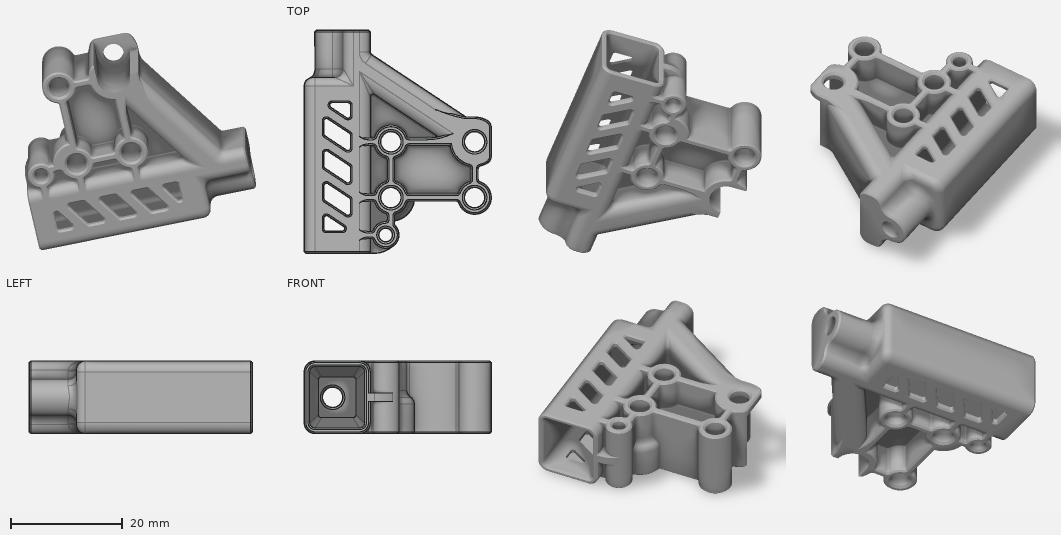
import cadquery as cq
import math

HEIGHT = 13.0
HALF_HEIGHT = HEIGHT / 2
LENGTH = 40.0
EDGE_CHAMFER = 0.3

BODY_WIDTH = 11.85
BODY_LENGTH = 31.5
BODY_RADIUS = 1.95
BODY_END_RADIUS = 1.5
WALL = 1.0
CAVITY_DEPTH = 30.0
CAVITY_RADIUS = BODY_RADIUS - WALL
CAVITY_FLOOR_CHAMFER = 1.6
CAVITY_FLOOR_WIDTH = 6.7
CAVITY_FLOOR_HEIGHT = 7.3
CAVITY_FLOOR_RADIUS = 0.5

NECK_X = 5.1
NECK_RADIUS = 3.2
NECK_FLARE = 1.5
RIDGE_LEFT = 8.85

WINDOW_LEFT = 3.55
WINDOW_RIGHT = 8.3
WINDOW_PITCH = 5.8
WINDOW_HEIGHT = 3.35
WINDOW_COUNT = 5
WINDOW_CENTER_Y = 15.5
WINDOW_CORNER = 0.45

HOLE_DIAMETER = 3.6
HOLE_CHAMFER = 0.4
BOSS_RADIUS = 3.0
BOSS_LEFT = 15.54
BOSS_RIGHT = BOSS_LEFT + 15.0
BOSS_FRONT = 10.0
BOSS_REAR = BOSS_FRONT + 10.0
SMALL_HOLE_DIAMETER = 2.4
SMALL_BOSS_RADIUS = 2.4
SMALL_BOSS_X = 14.6
SMALL_BOSS_Y = 3.3
WEB = 1.3
WEB_FILLET = 0.5
SMALL_WEB_FILLET = 0.3
WEB_ROOT_X = BODY_WIDTH - BODY_RADIUS
WEB_ROOT_HALF_WIDTH = 1.4
FLOOR = 1.5
FLOOR_FILLET = 0.25
FLOOR_FRONT_X = 12.6
FLOOR_FRONT_MIDDLE = (14.5, 0.4)
FLOOR_FRONT_END = (16.15, 1.55)
FLARE_RADIUS = 4.25
FLARE_RISE = 1.2

PAD_RADIUS = 4.45
PAD_CORNER = 1.5
PAD_SIDE = BOSS_RIGHT + BOSS_RADIUS
PAD_THICKNESS = 1.4
PAD_RECESS_RADIUS = 3.0

STRUT_ANGLE = 33.5
STRUT_SLOPE = math.tan(math.radians(STRUT_ANGLE))
STRUT_WIDTH = 5.7
STRUT_ROOT_Y = 35.8
STRUT_END_X = 28.9
STRUT_NECK_FILLET = 0.5
STRUT_POCKET_FILLET = 0.5
GUSSET_TIP = (22.2, 26.75)
GUSSET_MIDDLE = (25.5, 25.35)
GUSSET_END_X = 28.9
CROTCH_START_X = 21.9
CROTCH_END = (26.8, 21.9)


def column(sketch):
    """Extrude a plan outline over the full height of the part."""
    return sketch.extrude(HEIGHT)


def plan():
    """Sketch plane at the part's bottom face."""
    return cq.Workplane("XY", origin=(0, 0, -HALF_HEIGHT))


def section(y):
    """Section plane at the given Y, with local axes X and Z; negative extrusions run toward +Y."""
    return cq.Workplane(cq.Plane((0, y, 0), xDir=(1, 0, 0), normal=(0, -1, 0)))


def make_body():
    body = section(0).center(BODY_WIDTH / 2, 0).rect(BODY_WIDTH, HEIGHT).extrude(-BODY_LENGTH)
    body = body.edges("|Y").fillet(BODY_RADIUS)
    body = body.faces(">Y").edges().fillet(BODY_END_RADIUS)
    return body.faces("<Y").edges().chamfer(EDGE_CHAMFER)


def make_neck():
    """Tube whose top and bottom sweep up in an S-curve to the full-height ridge beside it."""
    start_y = CAVITY_DEPTH
    mid_x = (NECK_X + RIDGE_LEFT) / 2
    mid_z = (NECK_RADIUS + HALF_HEIGHT) / 2
    corner_z = HALF_HEIGHT - BODY_RADIUS
    half = (
        section(start_y)
        .moveTo(NECK_X - NECK_RADIUS, 0)
        .radiusArc((NECK_X, NECK_RADIUS), NECK_RADIUS)
        .tangentArcPoint((mid_x, mid_z), relative=False)
        .tangentArcPoint((RIDGE_LEFT, HALF_HEIGHT), relative=False)
        .lineTo(WEB_ROOT_X, HALF_HEIGHT)
        .radiusArc((BODY_WIDTH, corner_z), BODY_RADIUS)
        .lineTo(BODY_WIDTH, 0)
        .close()
        .extrude(start_y - LENGTH)
    )
    neck = half.union(half.mirror("XY"))
    return neck.faces(">Y").edges().chamfer(EDGE_CHAMFER)


def strut_edge_y(x, inset):
    """Y at a given X of the line parallel to the strut, inset from its outer side."""
    return STRUT_ROOT_Y - (x - BODY_WIDTH) * STRUT_SLOPE - inset / math.cos(math.radians(STRUT_ANGLE))


def make_strut():
    """Diagonal strut with a stub of the neck's ridge, so one rounding follows their outer side."""
    end_outer = (STRUT_END_X, strut_edge_y(STRUT_END_X, 0))
    inner_end_x = STRUT_END_X - STRUT_WIDTH * math.sin(math.radians(STRUT_ANGLE))
    end_inner = (inner_end_x, strut_edge_y(inner_end_x, STRUT_WIDTH))
    ridge_end = LENGTH - BODY_RADIUS
    strut = column(
        plan()
        .moveTo(RIDGE_LEFT, ridge_end)
        .lineTo(BODY_WIDTH, ridge_end)
        .lineTo(BODY_WIDTH, STRUT_ROOT_Y)
        .lineTo(*end_outer)
        .lineTo(*end_inner)
        .lineTo(RIDGE_LEFT, strut_edge_y(RIDGE_LEFT, STRUT_WIDTH))
        .close()
    )
    corner = cq.NearestToPointSelector((BODY_WIDTH, STRUT_ROOT_Y, 0))
    strut = strut.edges(corner).fillet(STRUT_NECK_FILLET)
    middle_x = (BODY_WIDTH + STRUT_END_X) / 2
    for z in (-HALF_HEIGHT, HALF_HEIGHT):
        for inset in (0, STRUT_WIDTH):
            side = cq.NearestToPointSelector((middle_x, strut_edge_y(middle_x, inset), z))
            strut = strut.edges(side).fillet(BODY_RADIUS)
    return strut


def make_boss(x, y, radius):
    return column(plan().center(x, y).circle(radius))


def make_web(start, end):
    length = math.dist(start, end)
    angle = math.degrees(math.atan2(end[1] - start[1], end[0] - start[0]))
    web = plan().center(length / 2, 0).rect(length, WEB).extrude(HEIGHT)
    return web.rotate((0, 0, 0), (0, 0, 1), angle).translate((*start, 0))


def make_web_root(y):
    """Web end that widens along a tangent arc as it runs onto the sleeve's rounded corner."""
    half_web = WEB / 2
    tip_x = WEB_ROOT_X - EDGE_CHAMFER
    half = (
        plan()
        .moveTo(BODY_WIDTH, y)
        .lineTo(BODY_WIDTH, y + half_web)
        .lineTo(BODY_WIDTH - EDGE_CHAMFER, y + half_web)
        .tangentArcPoint((WEB_ROOT_X, y + WEB_ROOT_HALF_WIDTH), relative=False)
        .lineTo(tip_x, y + WEB_ROOT_HALF_WIDTH)
        .lineTo(tip_x, y)
        .close()
        .extrude(HEIGHT)
    )
    root = half.union(half.mirror("XZ", (0, y, 0)))
    return root.faces("<Z or >Z").edges("not |Y").chamfer(EDGE_CHAMFER)


def make_pad():
    """Disc around the rear right hole, cut flat on its right side."""
    pad = make_boss(BOSS_RIGHT, BOSS_REAR, PAD_RADIUS)
    overhang = column(plan().center(PAD_SIDE + PAD_RADIUS, BOSS_REAR).rect(2 * PAD_RADIUS, 2 * PAD_RADIUS))
    return pad.cut(overhang).edges("|Z and >X").fillet(PAD_CORNER)


def make_gusset():
    """Web that eases the strut's outer side into the pad's rear edge."""
    top = BOSS_REAR + PAD_RADIUS
    return column(
        plan()
        .moveTo(*GUSSET_TIP)
        .threePointArc(GUSSET_MIDDLE, (GUSSET_END_X, top))
        .lineTo(BOSS_RIGHT, top)
        .lineTo(BOSS_RIGHT, BOSS_REAR)
        .lineTo(*CROTCH_END)
        .close()
    )


def make_crotch():
    """Fill in the sharp corner where the strut's inner side meets the rear web."""
    web_side = BOSS_REAR + WEB / 2
    return column(
        plan()
        .moveTo(CROTCH_START_X - WEB, web_side)
        .lineTo(CROTCH_START_X, web_side)
        .tangentArcPoint(CROTCH_END, relative=False)
        .lineTo(CROTCH_END[0], BOSS_REAR)
        .lineTo(CROTCH_START_X - WEB, BOSS_REAR)
        .close()
    )


def make_frame():
    """Bosses, pad and webs joined into one frame, with rounded joints and chamfered rims."""
    front_left = (BOSS_LEFT, BOSS_FRONT)
    rear_left = (BOSS_LEFT, BOSS_REAR)
    front_right = (BOSS_RIGHT, BOSS_FRONT)
    rear_right = (BOSS_RIGHT, BOSS_REAR)
    frame = make_pad().union(make_gusset()).union(make_crotch())
    for center in (front_left, rear_left, front_right):
        frame = frame.union(make_boss(*center, BOSS_RADIUS))
    frame = frame.union(make_boss(SMALL_BOSS_X, SMALL_BOSS_Y, SMALL_BOSS_RADIUS))
    webs = [
        ((WEB_ROOT_X, BOSS_REAR), rear_right),
        ((WEB_ROOT_X, BOSS_FRONT), front_right),
        ((WEB_ROOT_X, SMALL_BOSS_Y), (SMALL_BOSS_X, SMALL_BOSS_Y)),
        ((BOSS_LEFT, SMALL_BOSS_Y), rear_left),
        (front_right, rear_right),
    ]
    for start, end in webs:
        frame = frame.union(make_web(start, end))

    half_web = WEB / 2
    joints = [
        (front_left, BOSS_RADIUS, ((1, 0), (-1, 0), (0, 1), (0, -1))),
        (rear_left, BOSS_RADIUS, ((1, 0), (-1, 0), (0, -1))),
        (front_right, BOSS_RADIUS, ((-1, 0), (0, 1))),
        (rear_right, PAD_RADIUS, ((0, -1),)),
    ]
    for (x, y), radius, directions in joints:
        reach = math.sqrt(radius**2 - half_web**2)
        for dx, dy in directions:
            for side in (-half_web, half_web):
                corner = (x + dx * reach - dy * side, y + dy * reach + dx * side, 0)
                frame = frame.edges(cq.NearestToPointSelector(corner)).fillet(WEB_FILLET)
    rear_web_sides = (BOSS_LEFT - half_web - SMALL_BOSS_X, BOSS_LEFT + half_web - SMALL_BOSS_X)
    small_corners = [(dx, math.sqrt(SMALL_BOSS_RADIUS**2 - dx**2)) for dx in rear_web_sides]
    side_reach = math.sqrt(SMALL_BOSS_RADIUS**2 - half_web**2)
    small_corners += [(-side_reach, -half_web), (-side_reach, half_web)]
    for dx, dy in small_corners:
        corner = (SMALL_BOSS_X + dx, SMALL_BOSS_Y + dy, 0)
        frame = frame.edges(cq.NearestToPointSelector(corner)).fillet(SMALL_WEB_FILLET)
    frame = frame.faces("<Z or >Z").edges().chamfer(EDGE_CHAMFER)
    for y in (SMALL_BOSS_Y, BOSS_FRONT, BOSS_REAR):
        frame = frame.union(make_web_root(y))
    return frame


def make_floor():
    """Thin plate at mid height that closes the spaces between sleeve, strut, bosses and webs."""
    return (
        cq.Workplane("XY", origin=(0, 0, -FLOOR / 2))
        .moveTo(WEB_ROOT_X, 0)
        .lineTo(FLOOR_FRONT_X, 0)
        .threePointArc(FLOOR_FRONT_MIDDLE, FLOOR_FRONT_END)
        .lineTo(BOSS_LEFT, BOSS_FRONT)
        .lineTo(BOSS_RIGHT, BOSS_FRONT)
        .lineTo(BOSS_RIGHT, BOSS_REAR)
        .lineTo(BOSS_RIGHT - PAD_RADIUS, strut_edge_y(BOSS_RIGHT - PAD_RADIUS, STRUT_WIDTH / 2))
        .lineTo(WEB_ROOT_X, strut_edge_y(WEB_ROOT_X, STRUT_WIDTH / 2))
        .close()
        .extrude(FLOOR)
    )


def make_flare():
    """Front quarter of the lower, wider part of the front left boss."""
    mid_radius = (BOSS_RADIUS + FLARE_RADIUS) / 2
    profile = (
        cq.Workplane("XZ")
        .moveTo(0, -HALF_HEIGHT)
        .lineTo(FLARE_RADIUS - EDGE_CHAMFER, -HALF_HEIGHT)
        .lineTo(FLARE_RADIUS, -HALF_HEIGHT + EDGE_CHAMFER)
        .lineTo(FLARE_RADIUS, -FLARE_RISE)
        .tangentArcPoint((mid_radius, 0), relative=False)
        .tangentArcPoint((BOSS_RADIUS, FLARE_RISE), relative=False)
        .lineTo(0, FLARE_RISE)
        .close()
    )
    flare = profile.revolve(360, (0, 0, 0), (0, 1, 0)).translate((BOSS_LEFT, BOSS_FRONT, 0))
    middle = (BOSS_LEFT + FLARE_RADIUS / 2, BOSS_FRONT - FLARE_RADIUS / 2)
    quadrant = column(plan().center(*middle).rect(FLARE_RADIUS, FLARE_RADIUS))
    return flare.intersect(quadrant)


def make_cavity():
    """Hollow of the sleeve, with a chamfered mouth and a tapered far end."""
    width = BODY_WIDTH - 2 * WALL
    height = HEIGHT - 2 * WALL
    straight = CAVITY_DEPTH - CAVITY_FLOOR_CHAMFER
    cavity = section(0).center(BODY_WIDTH / 2, 0).rect(width, height).extrude(-straight)
    cavity = cavity.edges("|Y").fillet(CAVITY_RADIUS)
    throat = cq.Sketch().rect(width, height).vertices().fillet(CAVITY_RADIUS)
    floor = cq.Sketch().rect(CAVITY_FLOOR_WIDTH, CAVITY_FLOOR_HEIGHT).vertices().fillet(CAVITY_FLOOR_RADIUS)
    end = (
        section(straight)
        .center(BODY_WIDTH / 2, 0)
        .placeSketch(throat, floor.moved(cq.Location((0, 0, -CAVITY_FLOOR_CHAMFER))))
        .loft()
    )
    mouth = cq.Sketch().rect(width + 2 * EDGE_CHAMFER, height + 2 * EDGE_CHAMFER)
    mouth = mouth.vertices().fillet(CAVITY_RADIUS + EDGE_CHAMFER)
    entry = (
        section(0)
        .center(BODY_WIDTH / 2, 0)
        .placeSketch(mouth, throat.moved(cq.Location((0, 0, -EDGE_CHAMFER))))
        .loft()
    )
    return cavity.union(end).union(entry)


def make_bore():
    """Hole along the neck, countersunk where it leaves the cavity."""
    floor_radius = HOLE_DIAMETER / 2 + HOLE_CHAMFER
    bore = section(0).center(NECK_X, 0).circle(HOLE_DIAMETER / 2).extrude(-LENGTH)
    countersink = (
        section(CAVITY_DEPTH)
        .center(NECK_X, 0)
        .circle(floor_radius)
        .workplane(offset=-HOLE_CHAMFER)
        .circle(HOLE_DIAMETER / 2)
        .loft()
    )
    return bore.union(countersink)


def make_hole(x, y, diameter):
    """Vertical through hole, countersunk at both ends."""
    radius = diameter / 2
    hole = column(plan().center(x, y).circle(radius))
    rim = plan().center(x, y).circle(radius + HOLE_CHAMFER).extrude(HOLE_CHAMFER, taper=45)
    return hole.union(rim).union(rim.mirror("XY"))


def make_pad_recess():
    """Clearance under the pad's top plate, open to the right and the rear."""
    depth = HEIGHT - PAD_THICKNESS
    recess = plan().center(BOSS_RIGHT, BOSS_REAR).circle(PAD_RECESS_RADIUS).extrude(depth)
    corner = (BOSS_RIGHT, BOSS_REAR - PAD_RECESS_RADIUS)
    side = PAD_RADIUS + PAD_RECESS_RADIUS
    opening = plan().center(*corner).rect(side, side, centered=False).extrude(depth)
    return recess.union(opening)


def window_outlines():
    """Plan outlines of the windows, front to rear: a triangle at each end, parallelograms between."""
    drop = (WINDOW_RIGHT - WINDOW_LEFT) * STRUT_SLOPE
    outlines = []
    for index in range(WINDOW_COUNT):
        y = WINDOW_CENTER_Y + (index - WINDOW_COUNT // 2) * WINDOW_PITCH
        front_left = (WINDOW_LEFT, y + (drop - WINDOW_HEIGHT) / 2)
        rear_left = (WINDOW_LEFT, y + (drop + WINDOW_HEIGHT) / 2)
        front_right = (WINDOW_RIGHT, y - (drop + WINDOW_HEIGHT) / 2)
        rear_right = (WINDOW_RIGHT, y - (drop - WINDOW_HEIGHT) / 2)
        if index == 0:
            outlines.append([(WINDOW_LEFT, rear_right[1]), rear_right, rear_left])
        elif index == WINDOW_COUNT - 1:
            outlines.append([(WINDOW_RIGHT, front_left[1]), front_left, front_right])
        else:
            outlines.append([front_left, front_right, rear_right, rear_left])
    return outlines


def cut_windows(body):
    """Cut the windows and chamfer their outer rims."""
    for outline in window_outlines():
        window = column(plan().polyline(outline).close()).edges("|Z").fillet(WINDOW_CORNER)
        body = body.cut(window)
    rims = []
    for face in body.faces("<Z or >Z").vals():
        for wire in face.innerWires():
            rims.extend(wire.Edges())
    return body.newObject(rims).chamfer(EDGE_CHAMFER)


def fillet_pocket_floor(part, low, high, z):
    """Round the foot of the walls of the pocket that lies between two plan corners."""
    gap = FLOOR / 4
    box = cq.selectors.BoxSelector((*low, z - gap), (*high, z + gap))
    edges = [edge for edge in part.edges(box).vals() if abs(edge.Center().z - z) < FLOOR / 100]
    return part.newObject(edges).fillet(FLOOR_FILLET)


result = cut_windows(make_body()).union(make_neck())
shoulder = cq.selectors.BoxSelector(
    (-WALL, BODY_LENGTH - WALL / 2, -HALF_HEIGHT + BODY_RADIUS / 2),
    (RIDGE_LEFT - WALL, BODY_LENGTH + WALL / 2, HALF_HEIGHT - BODY_RADIUS / 2),
)
result = result.edges(shoulder).fillet(NECK_FLARE)

result = result.union(make_strut())
strut_corner = (BODY_WIDTH, strut_edge_y(BODY_WIDTH, STRUT_WIDTH), 0)
result = result.edges(cq.NearestToPointSelector(strut_corner)).fillet(STRUT_POCKET_FILLET)

result = result.union(make_frame()).union(make_floor()).union(make_flare())

result = result.cut(make_cavity()).cut(make_bore()).cut(make_pad_recess())
for hole_x in (BOSS_LEFT, BOSS_RIGHT):
    for hole_y in (BOSS_FRONT, BOSS_REAR):
        result = result.cut(make_hole(hole_x, hole_y, HOLE_DIAMETER))
result = result.cut(make_hole(SMALL_BOSS_X, SMALL_BOSS_Y, SMALL_HOLE_DIAMETER))

sleeve_side = BODY_WIDTH - FLOOR_FILLET
pockets = [
    ((BOSS_LEFT, BOSS_FRONT), (BOSS_RIGHT, BOSS_REAR)),
    ((sleeve_side, BOSS_FRONT), (BOSS_LEFT, BOSS_REAR)),
    ((sleeve_side, BOSS_REAR), (CROTCH_END[0], BODY_LENGTH)),
]
for floor_z in (-FLOOR / 2, FLOOR / 2):
    for low, high in pockets:
        result = fillet_pocket_floor(result, low, high, floor_z)